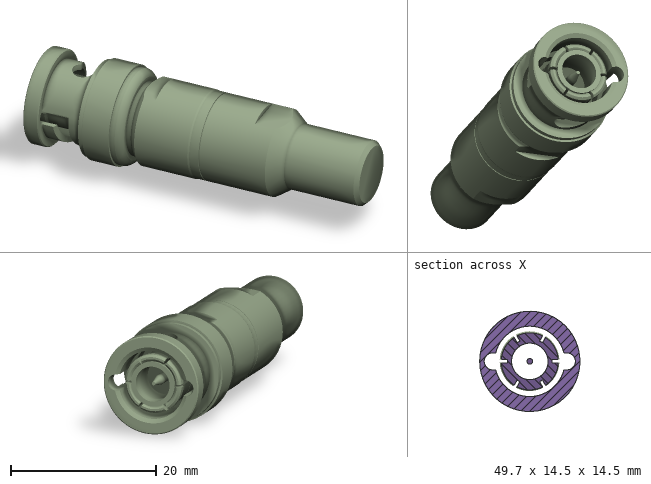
import cadquery as cq
import math

TOTAL_LENGTH = 49.65

RIM_RADIUS = 6.95
FLANGE_LENGTH = 2.3
FLANGE_CHAMFER = 0.15
NECK_RADIUS = 5.65
COLLAR_START = 8.35
GRIP_START = 9.1
GRIP_END = 13.1
GRIP_RADIUS = 7.25
COUPLING_END = 14.9
SHOULDER_LENGTH = 1.0
SHOULDER_DROP = 1.0
SHOULDER_ARC_RADIUS = 1.5
CAVITY_RADIUS = 4.8
CAVITY_DEPTH = GRIP_START
MOUTH_FLARE = 0.55
MOUTH_DEPTH = 0.4

SLOT_WIDTH = 2.3
ENTRY_REACH = 6.25
RAMP_ANGLE = 15.0
LOCK_X = 6.1
LOCK_RADIUS = 1.65

SLEEVE_START = 0.8
SLEEVE_RADIUS = 3.8
STEM_RADIUS = 3.85
LIP_RADIUS = 4.1
LIP_END = 2.0
INSULATOR_RADIUS = 3.2
SLEEVE_MOUTH_CHAMFER = 0.35
INSULATOR_BORE_RADIUS = 2.5
SLIT_COUNT = 6
SLIT_WIDTH = 0.4
SLIT_END = 5.65
INSULATOR_BORE_END = SLIT_END
SLIT_ROOT_RADIUS = 3.15
PIN_START = 1.2
PIN_RADIUS = 0.7
PIN_TIP_RADIUS = 0.25
PIN_TIP_LENGTH = 2.5
SHANK_RADIUS = 5.3
SHANK_END = 15.6
BARREL_RADIUS = 6.35
BARREL_START = 16.6
BARREL_END = 24.65
BARREL_TAPER_LENGTH = 0.25
BODY_FLAT_END = 18.3

JOINT_X = 26.25
JOINT_GROOVE_WIDTH = 0.15
JOINT_GROOVE_DEPTH = 0.15
NUT_RADIUS = 6.25
NUT_CONE_START = 36.35
NUT_CONE_END = 38.55
NUT_FLAT_START = 33.3
TAIL_RADIUS = 4.65
TAIL_CHAMFER = 0.6

FLAT_HALF_HEIGHT = 5.5


def turned(outline):
    """Revolve an (x, radius) outline about the X axis."""
    points = [(x, -radius) for x, radius in outline]
    return cq.Workplane("XY").polyline(points).close().revolve(360, (0, 0, 0), (1, 0, 0))


def wrench_flats(start, end):
    """Material outside the two wrench flats, above and below the axis."""
    side = 2 * BARREL_RADIUS
    band = cq.Workplane("XY").box(end - start, side, side, centered=(False, True, True))
    core = cq.Workplane("XY").box(end - start, side, 2 * FLAT_HALF_HEIGHT, centered=(False, True, True))
    return band.cut(core).translate((start, 0, 0))


def entry_slot():
    """Straight, round-bottomed channel from the mating face to the ramp, on the +Y side."""
    ramp_side_x = LOCK_X - ENTRY_REACH * math.tan(math.radians(RAMP_ANGLE))
    return (
        cq.Workplane("YZ")
        .center(ENTRY_REACH / 2, 0)
        .rect(ENTRY_REACH - SLOT_WIDTH, SLOT_WIDTH)
        .extrude(ramp_side_x)
        .union(
            cq.Workplane("YZ")
            .center(ENTRY_REACH - SLOT_WIDTH / 2, 0)
            .circle(SLOT_WIDTH / 2)
            .extrude(ramp_side_x)
        )
    )


def ramp_slot():
    """Inclined slot leading from the entry on the +Y side to the lock pocket at the top."""
    slot_floor = -SLOT_WIDTH / 2
    slot_height = GRIP_RADIUS - slot_floor
    ramp_length = NECK_RADIUS / math.cos(math.radians(RAMP_ANGLE)) + SLOT_WIDTH
    ramp_offset = LOCK_RADIUS - SLOT_WIDTH / 2
    ramp = (
        cq.Workplane("XY")
        .box(SLOT_WIDTH, ramp_length, slot_height, centered=(True, False, False))
        .translate((ramp_offset, 0, slot_floor))
        .rotate((0, 0, 0), (0, 0, 1), RAMP_ANGLE)
        .translate((LOCK_X, 0, 0))
    )
    lock_pocket = cq.Workplane("XY").center(LOCK_X, 0).circle(LOCK_RADIUS).extrude(slot_height)
    return ramp.union(lock_pocket)


def rear_shoulder():
    """Ring of material outside the rounded rear shoulder of the coupling."""
    return (
        cq.Workplane("XY")
        .moveTo(COUPLING_END - SHOULDER_LENGTH, -RIM_RADIUS)
        .radiusArc((COUPLING_END, SHOULDER_DROP - RIM_RADIUS), -SHOULDER_ARC_RADIUS)
        .lineTo(COUPLING_END, -RIM_RADIUS)
        .close()
        .revolve(360, (0, 0, 0), (1, 0, 0))
    )


def make_coupling():
    ring = turned([
        (0, CAVITY_RADIUS + MOUTH_FLARE),
        (0, RIM_RADIUS - FLANGE_CHAMFER),
        (FLANGE_CHAMFER, RIM_RADIUS),
        (FLANGE_LENGTH - FLANGE_CHAMFER, RIM_RADIUS),
        (FLANGE_LENGTH, RIM_RADIUS - FLANGE_CHAMFER),
        (FLANGE_LENGTH, NECK_RADIUS),
        (COLLAR_START, NECK_RADIUS),
        (COLLAR_START, RIM_RADIUS),
        (GRIP_START, RIM_RADIUS),
        (GRIP_START, GRIP_RADIUS),
        (GRIP_END, GRIP_RADIUS),
        (GRIP_END, RIM_RADIUS),
        (COUPLING_END, RIM_RADIUS),
        (COUPLING_END, STEM_RADIUS),
        (CAVITY_DEPTH, STEM_RADIUS),
        (CAVITY_DEPTH, CAVITY_RADIUS),
        (MOUTH_DEPTH, CAVITY_RADIUS),
    ])
    ring = ring.cut(rear_shoulder())
    slot = entry_slot().union(ramp_slot())
    for turn in (0, 180):
        ring = ring.cut(slot.rotate((0, 0, 0), (1, 0, 0), turn))
    return ring


def sleeve_slits():
    """Radial slits that split the contact sleeve into spring fingers."""
    slit_length = SLIT_END - SLEEVE_START
    slit = cq.Workplane("XY").box(slit_length, LIP_RADIUS, SLIT_WIDTH, centered=(False, False, True))
    slit = slit.translate((SLEEVE_START, 0, 0))
    slits = cq.Workplane("XY")
    for index in range(SLIT_COUNT):
        slits = slits.union(slit.rotate((0, 0, 0), (1, 0, 0), index * 360 / SLIT_COUNT))
    uncut_core = cq.Workplane("YZ").circle(SLIT_ROOT_RADIUS).extrude(SLIT_END)
    return slits.cut(uncut_core)


def make_body():
    lip_step = LIP_RADIUS - SLEEVE_RADIUS
    body = turned([
        (PIN_START, 0),
        (PIN_START, PIN_TIP_RADIUS),
        (PIN_START + PIN_TIP_LENGTH, PIN_RADIUS),
        (INSULATOR_BORE_END, PIN_RADIUS),
        (INSULATOR_BORE_END, INSULATOR_BORE_RADIUS),
        (SLEEVE_START, INSULATOR_BORE_RADIUS),
        (SLEEVE_START, INSULATOR_RADIUS),
        (SLEEVE_START + SLEEVE_MOUTH_CHAMFER, INSULATOR_RADIUS),
        (SLEEVE_START, INSULATOR_RADIUS + SLEEVE_MOUTH_CHAMFER),
        (SLEEVE_START, SLEEVE_RADIUS),
        (SLEEVE_START + lip_step, LIP_RADIUS),
        (LIP_END, LIP_RADIUS),
        (LIP_END + lip_step, SLEEVE_RADIUS),
        (SLIT_END, SLEEVE_RADIUS),
        (SLIT_END, STEM_RADIUS),
        (COUPLING_END, STEM_RADIUS),
        (COUPLING_END, SHANK_RADIUS),
        (SHANK_END, SHANK_RADIUS),
        (BARREL_START, BARREL_RADIUS),
        (BARREL_END, BARREL_RADIUS),
        (BARREL_END + BARREL_TAPER_LENGTH, NUT_RADIUS),
        (JOINT_X, NUT_RADIUS),
        (JOINT_X, 0),
    ])
    return body.cut(sleeve_slits()).cut(wrench_flats(SHANK_END, BODY_FLAT_END))


def make_clamp_nut():
    groove_radius = NUT_RADIUS - JOINT_GROOVE_DEPTH
    groove_end = JOINT_X + JOINT_GROOVE_WIDTH
    nut = turned([
        (JOINT_X, 0),
        (JOINT_X, groove_radius),
        (groove_end, groove_radius),
        (groove_end, NUT_RADIUS),
        (NUT_CONE_START, NUT_RADIUS),
        (NUT_CONE_END, TAIL_RADIUS),
        (TOTAL_LENGTH - TAIL_CHAMFER, TAIL_RADIUS),
        (TOTAL_LENGTH, TAIL_RADIUS - TAIL_CHAMFER),
        (TOTAL_LENGTH, 0),
    ])
    return nut.cut(wrench_flats(NUT_FLAT_START, NUT_CONE_END))


coupling = make_coupling()
body = make_body()
clamp_nut = make_clamp_nut()

result = cq.Compound.makeCompound([coupling.val(), body.val(), clamp_nut.val()])